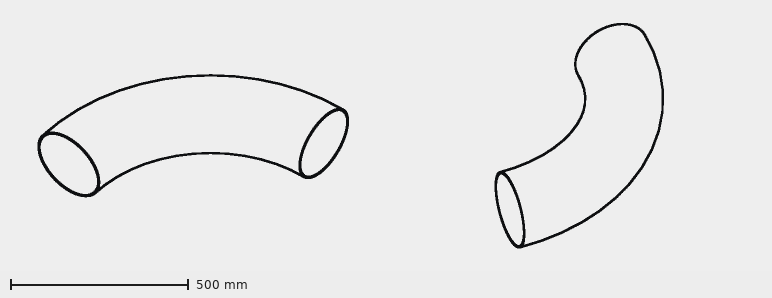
import cadquery as cq

outer_reach = 619.5
pipe_diameter = 219.5
wall_thickness = 4.0
bend_angle = 90.0

outer_radius = pipe_diameter / 2
inner_radius = outer_radius - wall_thickness
bend_radius = outer_reach - outer_radius

pipe_section = (
    cq.Workplane("XZ")
    .circle(outer_radius)
    .circle(inner_radius)
)

axis_start = (bend_radius, 0)
axis_end = (bend_radius, -1)

result = pipe_section.revolve(bend_angle, axis_start, axis_end)